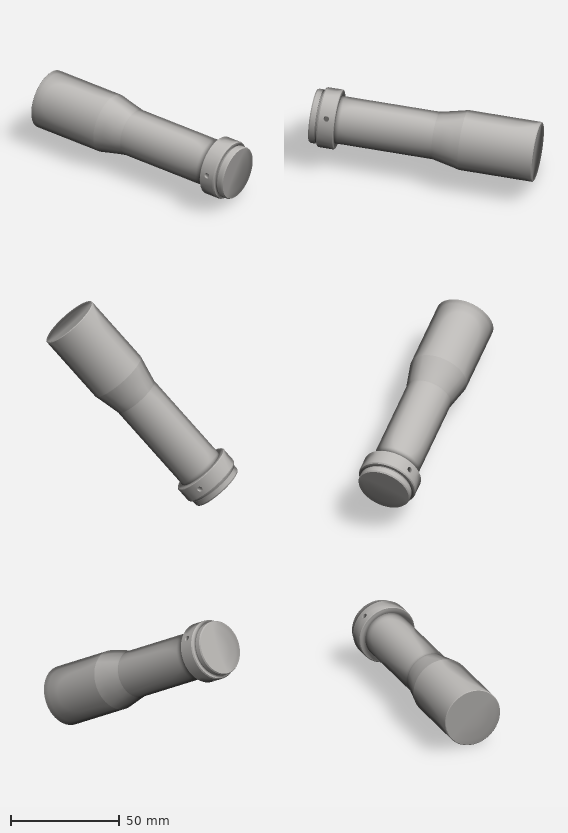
import cadquery as cq
import math

TOTAL_LENGTH = 105.7
HEAD_END = 34.8
TAPER_END = 47.8
COLLAR_START = 93.8
COLLAR_END = 101.7
GROOVE_END = 102.7

HEAD_RADIUS = 28.0 / 2
TUBE_RADIUS = 22.2 / 2
COLLAR_RADIUS = HEAD_RADIUS
GROOVE_RADIUS = 24.2 / 2
SPIGOT_RADIUS = 25.4 / 2

HEAD_CHAMFER = 0.3
COLLAR_FRONT_CHAMFER = 0.3
REAR_CHAMFER_LENGTH = 0.6
REAR_CHAMFER_HEIGHT = 0.37

HOLE_COUNT = 3
HOLE_DIAMETER = 2.5
HOLE_DEPTH = 3.0
HOLE_X = 97.7
FIRST_HOLE_ANGLE = 14.4


def cylinder(start, end, radius):
    """Solid cylinder on the X axis between two positions."""
    return cq.Workplane("YZ", origin=(start, 0, 0)).circle(radius).extrude(end - start)


def break_rear_edge(section, end_x, radius):
    """Shallow bevel around the +X end of a turned section."""
    bevel = (
        cq.Workplane("XY")
        .moveTo(end_x - REAR_CHAMFER_LENGTH, radius)
        .lineTo(end_x, radius)
        .lineTo(end_x, radius - REAR_CHAMFER_HEIGHT)
        .close()
        .revolve(360, (0, 0, 0), (1, 0, 0))
    )
    return section.cut(bevel)


def screw_hole(angle):
    """Radial cutter for a flat-bottomed hole that enters the collar at the given angle."""
    outward = cq.Vector(0, -math.cos(math.radians(angle)), math.sin(math.radians(angle)))
    hole_bottom = cq.Vector(HOLE_X, 0, 0) + outward * (COLLAR_RADIUS - HOLE_DEPTH)
    cutter_length = 2 * HOLE_DEPTH
    return cq.Solid.makeCylinder(HOLE_DIAMETER / 2, cutter_length, hole_bottom, outward)


head = cylinder(0, HEAD_END, HEAD_RADIUS).faces("<X").chamfer(HEAD_CHAMFER)
taper = cq.Workplane(
    cq.Solid.makeCone(
        HEAD_RADIUS, TUBE_RADIUS, TAPER_END - HEAD_END, cq.Vector(HEAD_END, 0, 0), cq.Vector(1, 0, 0)
    )
)
tube = cylinder(TAPER_END, COLLAR_START, TUBE_RADIUS)

collar = cylinder(COLLAR_START, COLLAR_END, COLLAR_RADIUS)
collar = collar.faces("<X").chamfer(COLLAR_FRONT_CHAMFER)
collar = break_rear_edge(collar, COLLAR_END, COLLAR_RADIUS)
for index in range(HOLE_COUNT):
    collar = collar.cut(screw_hole(FIRST_HOLE_ANGLE + index * 360 / HOLE_COUNT))

groove = cylinder(COLLAR_END, GROOVE_END, GROOVE_RADIUS)
spigot = cylinder(GROOVE_END, TOTAL_LENGTH, SPIGOT_RADIUS)
spigot = break_rear_edge(spigot, TOTAL_LENGTH, SPIGOT_RADIUS)

result = head.union(taper).union(tube).union(collar).union(groove).union(spigot)